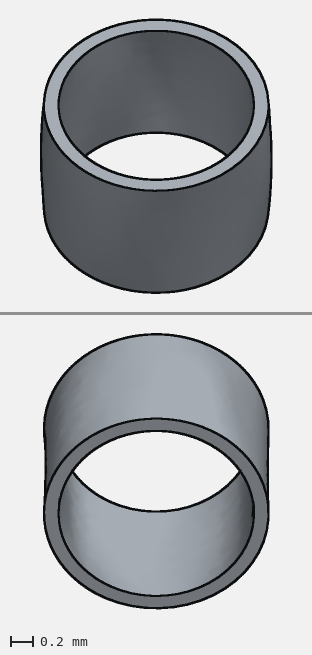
import cadquery as cq
import math

height = 1.4
rim_diameter = 2.0
wall_thickness = 0.13

band_bottom = height / 3
band_top = 2 * height / 3

swelling = {
    0: -0.006,
    30: 0.0,
    60: 0.028,
    90: 0.005,
    120: 0.028,
    137: 0.05,
    156: 0.058,
    180: -0.012,
    210: 0.0,
    240: 0.028,
    270: 0.005,
    300: 0.028,
    318: 0.055,
    340: 0.0,
}


def band_outline(base_radius, z):
    """Smooth closed outline of the swollen section through the listed angles."""
    points = []
    for angle, swell in swelling.items():
        radius = base_radius + swell
        turn = math.radians(angle)
        points.append(cq.Vector(radius * math.cos(turn), radius * math.sin(turn), z))
    return cq.Wire.assembleEdges([cq.Edge.makeSpline(points, periodic=True)])


def rim_outline(radius, z):
    return cq.Wire.makeCircle(radius, cq.Vector(0, 0, z), cq.Vector(0, 0, 1))


def swollen_cylinder(radius):
    """Solid running from a round rim through the swollen band to a round rim."""
    sections = [
        rim_outline(radius, 0),
        band_outline(radius, band_bottom),
        band_outline(radius, band_top),
        rim_outline(radius, height),
    ]
    return cq.Solid.makeLoft(sections)


outer_radius = rim_diameter / 2
inner_radius = outer_radius - wall_thickness

outer_body = cq.Workplane(swollen_cylinder(outer_radius))
bore = cq.Workplane(swollen_cylinder(inner_radius))
result = outer_body.cut(bore)